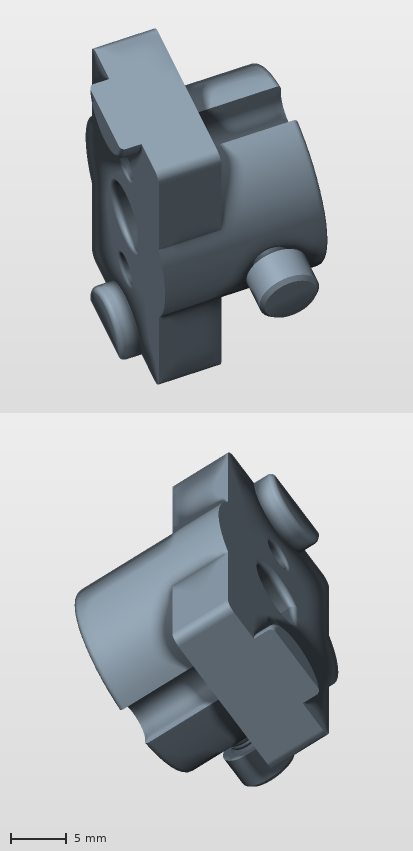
import cadquery as cq

plate_width = 16.0
plate_height = 32.0
plate_thickness = 6.0
plate_corner_radius = 1.0

hub_diameter = 19.0
hub_length = 15.8
edge_radius = 0.5

lug_radius = 3.87
lug_height = 2.0

bore_diameter = 6.2
bore_flat_offset = 2.5

mount_hole_diameter = 2.6
mount_hole_offset = plate_height / 4
access_slot_width = 4.0

screw_axis_y = 10.3
shank_diameter = 4.0
neck_diameter = 3.52
neck_start_x = 9.28
head_start_x = 10.53
head_end_x = 14.0
head_diameter = 5.75
head_chamfer = 0.4
neck_groove_x = 9.92
neck_groove_pitch = 0.4
neck_groove_width = 0.32
neck_groove_depth = 0.13


def cylinder_along_y(diameter, start_y, end_y, z=0.0):
    """Solid cylinder parallel to Y at X = 0 and the given height."""
    return (
        cq.Workplane("XZ", origin=(0, start_y, z))
        .circle(diameter / 2)
        .extrude(start_y - end_y)
    )


def box_from_corner(size_x, size_y, size_z, corner):
    """Box whose lowest corner sits at the given point."""
    return cq.Workplane("XY").box(size_x, size_y, size_z, centered=False).translate(corner)


def make_plate():
    plate = box_from_corner(
        plate_width, plate_thickness, plate_height, (-plate_width / 2, 0, -plate_height / 2)
    )
    return plate.edges("|Y").fillet(plate_corner_radius)


def make_hub():
    return cylinder_along_y(hub_diameter, 0, hub_length).faces(">Y").edges().fillet(edge_radius)


def make_lugs():
    """Two round lugs, each cut in half by the end face of the plate."""
    lugs = cq.Workplane("XY")
    for end_z in (-plate_height / 2, plate_height / 2):
        lug = cylinder_along_y(2 * lug_radius, -lug_height, 0, end_z)
        lugs = lugs.add(lug.faces("<Y").edges().fillet(edge_radius))
    plate_zone = cq.Workplane("XY").box(plate_width, 2 * lug_height, plate_height)
    return lugs.combine().intersect(plate_zone)


def make_shaft_bore():
    """D-shaped bore through the whole hub."""
    bore = cylinder_along_y(bore_diameter, 0, hub_length)
    keep = box_from_corner(
        bore_diameter / 2 + bore_flat_offset,
        hub_length,
        bore_diameter,
        (-bore_diameter / 2, 0, -bore_diameter / 2),
    )
    return bore.intersect(keep)


def make_access_slot(side):
    """Round-bottomed slot behind a mounting hole, open at the hub rim; side is +1 or -1."""
    hole_z = side * mount_hole_offset
    round_end = cylinder_along_y(access_slot_width, plate_thickness, hub_length, hole_z)
    slot_length = hub_diameter / 2 - mount_hole_offset
    channel = (
        cq.Workplane("XY")
        .box(access_slot_width, hub_length - plate_thickness, slot_length)
        .translate((0, (plate_thickness + hub_length) / 2, hole_z + side * slot_length / 2))
    )
    return round_end.union(channel)


def round_hole_mouths(housing):
    """Round the front edges of the shaft bore and of both mounting holes."""
    mouth_zone = cq.selectors.BoxSelector(
        (-bore_diameter / 2, -edge_radius / 2, -mount_hole_offset - mount_hole_diameter),
        (bore_diameter / 2, edge_radius / 2, mount_hole_offset + mount_hole_diameter),
    )
    return housing.edges(mouth_zone).fillet(edge_radius)


def make_screw_hole():
    """Hole for the screw shank, from the flat of the shaft bore out through the hub."""
    return (
        cq.Workplane("YZ", origin=(bore_flat_offset, screw_axis_y, 0))
        .circle(shank_diameter / 2)
        .extrude(hub_diameter / 2 - bore_flat_offset)
    )


def make_housing():
    housing = make_plate().union(make_hub()).union(make_lugs()).cut(make_shaft_bore())
    for side in (-1, 1):
        hole_z = side * mount_hole_offset
        housing = housing.cut(cylinder_along_y(mount_hole_diameter, 0, plate_thickness, hole_z))
        housing = housing.cut(make_access_slot(side))
    return round_hole_mouths(housing).cut(make_screw_hole())


def make_clamp_screw():
    """Screw turned from a half profile of (X, radius) points; its tip is flush with the bore flat."""
    shank_radius = shank_diameter / 2
    neck_radius = neck_diameter / 2
    head_radius = head_diameter / 2
    groove_root_radius = neck_radius - neck_groove_depth
    second_groove_x = neck_groove_x + neck_groove_pitch
    profile = [
        (bore_flat_offset, 0),
        (bore_flat_offset, shank_radius),
        (neck_start_x, shank_radius),
        (neck_start_x, neck_radius),
        (neck_groove_x - neck_groove_width / 2, neck_radius),
        (neck_groove_x, groove_root_radius),
        (neck_groove_x + neck_groove_width / 2, neck_radius),
        (second_groove_x - neck_groove_width / 2, neck_radius),
        (second_groove_x, groove_root_radius),
        (head_start_x, shank_radius),
        (head_start_x, head_radius),
        (head_end_x - head_chamfer, head_radius),
        (head_end_x, head_radius - head_chamfer),
        (head_end_x, 0),
    ]
    screw = cq.Workplane("XY").polyline(profile).close().revolve(360, (0, 0, 0), (1, 0, 0))
    return screw.translate((0, screw_axis_y, 0))


housing = make_housing()
clamp_screw = make_clamp_screw()

result = cq.Compound.makeCompound([housing.val(), clamp_screw.val()])